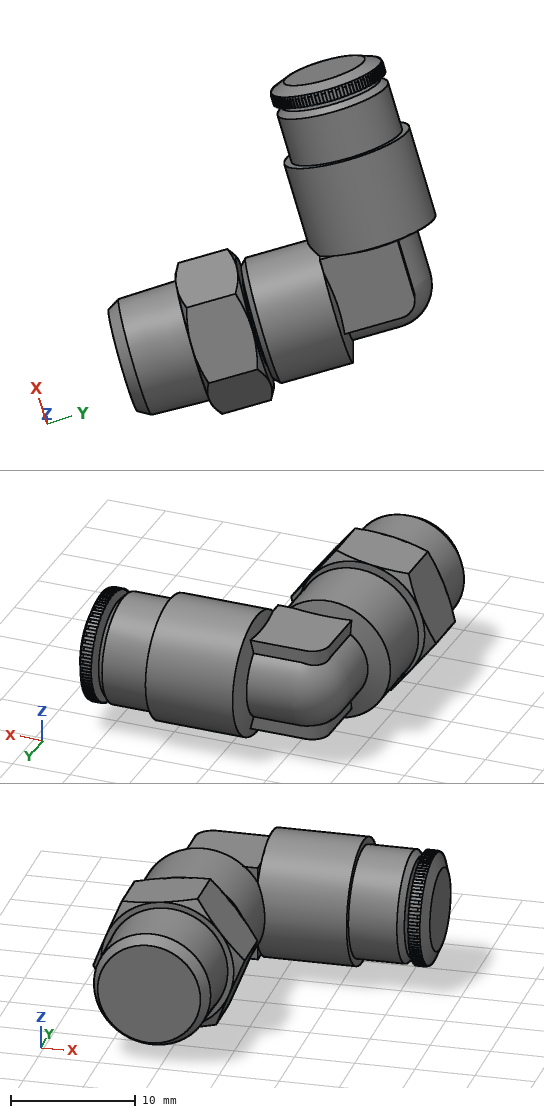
import cadquery as cq
import math


ELBOW_RADIUS = 3.5
PLATE_HALF_HEIGHT = 4.02
PLATE_OUTER_REACH = 1.98
PLATE_INNER_REACH = 4.5
PLATE_CORNER_RADIUS = 1.5

SLEEVE_RADIUS = 5.25
SLEEVE_START = 4.5
SLEEVE_CONE_LENGTH = 0.5

STEM_SLEEVE_END = 11.0
STEM_SLEEVE_CHAMFER = 0.5
NECK_RADIUS = 3.58
NUT_START = 11.2
NUT_END = 16.3
NUT_ACROSS_FLATS = 11.02
NUT_TILT = 8.0
NUT_CHAMFER_ANGLE = 30.0
THREAD_TOP_RADIUS = 5.01
THREAD_CHAMFER_START = 21.27
THREAD_TAPER = 1 / 16
STEM_END = 22.3
STEM_END_RADIUS = 4.27

PORT_SLEEVE_END = 12.07
PORT_RADIUS = 4.65
PORT_END = 16.59
PORT_CHAMFER = 0.5
COLLAR_NECK_RADIUS = 2.87
COLLAR_RADIUS = 4.7
COLLAR_START = 17.03
COLLAR_BEVEL_START = 17.77
COLLAR_RIM_END = 18.0
COLLAR_END = 18.5
COLLAR_END_RADIUS = 3.42

GROOVE_COUNT = 50
GROOVE_DEPTH = 0.08
GROOVE_WIDTH = math.pi * COLLAR_RADIUS / GROOVE_COUNT

X_AXIS = ((0, 0, 0), (1, 0, 0))
Y_AXIS = ((0, 0, 0), (0, 1, 0))


def turned_along_x(profile):
    """Revolve a closed outline of (distance, radius) points about the port axis."""
    return cq.Workplane("XY").polyline(profile).close().revolve(360, *X_AXIS)


def turned_along_stem(profile):
    """Revolve a closed outline of (distance, radius) points about the stem axis."""
    outline = [(radius, -distance) for distance, radius in profile]
    return cq.Workplane("XY").polyline(outline).close().revolve(360, *Y_AXIS)


def make_elbow():
    """Two round arms joined by a ball, with a flat-sided plate across the bend."""
    ball = cq.Workplane("XY").sphere(ELBOW_RADIUS)
    port_arm = cq.Workplane("YZ").circle(ELBOW_RADIUS).extrude(SLEEVE_START)
    stem_arm = cq.Workplane("XZ").circle(ELBOW_RADIUS).extrude(SLEEVE_START)
    plate_side = PLATE_OUTER_REACH + PLATE_INNER_REACH
    plate_centre = (PLATE_INNER_REACH - PLATE_OUTER_REACH) / 2
    plate = (
        cq.Workplane("XY")
        .box(plate_side, plate_side, 2 * PLATE_HALF_HEIGHT)
        .edges("|Z and <X and >Y")
        .fillet(PLATE_CORNER_RADIUS)
        .translate((plate_centre, -plate_centre, 0))
    )
    return ball.union(port_arm).union(stem_arm).union(plate)


def make_stem():
    """Sleeve, neck and tapered thread as one turned body."""
    thread_end_radius = THREAD_TOP_RADIUS - THREAD_TAPER / 2 * (THREAD_CHAMFER_START - NUT_END)
    return turned_along_stem([
        (SLEEVE_START - SLEEVE_CONE_LENGTH, 0),
        (SLEEVE_START - SLEEVE_CONE_LENGTH, ELBOW_RADIUS),
        (SLEEVE_START, SLEEVE_RADIUS),
        (STEM_SLEEVE_END - STEM_SLEEVE_CHAMFER, SLEEVE_RADIUS),
        (STEM_SLEEVE_END, SLEEVE_RADIUS - STEM_SLEEVE_CHAMFER),
        (STEM_SLEEVE_END, NECK_RADIUS),
        (NUT_END, NECK_RADIUS),
        (NUT_END, THREAD_TOP_RADIUS),
        (THREAD_CHAMFER_START, thread_end_radius),
        (STEM_END, STEM_END_RADIUS),
        (STEM_END, 0),
    ])


def make_nut():
    """Hexagon with both ends chamfered down to its inscribed circle."""
    flat_radius = NUT_ACROSS_FLATS / 2
    corner_radius = flat_radius / math.cos(math.radians(30))
    chamfer_length = (corner_radius - flat_radius) * math.tan(math.radians(NUT_CHAMFER_ANGLE))
    hexagon = (
        cq.Workplane("XZ", origin=(0, -NUT_START, 0))
        .polygon(6, 2 * corner_radius)
        .extrude(NUT_END - NUT_START)
        .rotate(*Y_AXIS, -NUT_TILT)
    )
    chamfered_blank = turned_along_stem([
        (NUT_START, 0),
        (NUT_START, flat_radius),
        (NUT_START + chamfer_length, corner_radius),
        (NUT_END - chamfer_length, corner_radius),
        (NUT_END, flat_radius),
        (NUT_END, 0),
    ])
    return hexagon.intersect(chamfered_blank)


def make_port():
    """Sleeve and tube holder as one turned body."""
    return turned_along_x([
        (SLEEVE_START - SLEEVE_CONE_LENGTH, 0),
        (SLEEVE_START - SLEEVE_CONE_LENGTH, ELBOW_RADIUS),
        (SLEEVE_START, SLEEVE_RADIUS),
        (PORT_SLEEVE_END, SLEEVE_RADIUS),
        (PORT_SLEEVE_END, PORT_RADIUS),
        (PORT_END - PORT_CHAMFER, PORT_RADIUS),
        (PORT_END, PORT_RADIUS - PORT_CHAMFER),
        (PORT_END, 0),
    ])


def make_collar():
    """Release collar whose neck sweeps up to the rim in a concave quarter round."""
    round_size = COLLAR_START - PORT_END
    along_45 = round_size * math.sin(math.radians(45))
    return (
        cq.Workplane("XY")
        .moveTo(PORT_END, 0)
        .lineTo(PORT_END, COLLAR_NECK_RADIUS)
        .threePointArc(
            (PORT_END + along_45, COLLAR_NECK_RADIUS + round_size - along_45),
            (COLLAR_START, COLLAR_NECK_RADIUS + round_size),
        )
        .lineTo(COLLAR_START, COLLAR_RADIUS)
        .lineTo(COLLAR_BEVEL_START, COLLAR_RADIUS)
        .lineTo(COLLAR_RIM_END, COLLAR_RADIUS - GROOVE_DEPTH)
        .lineTo(COLLAR_END, COLLAR_END_RADIUS)
        .lineTo(COLLAR_END, 0)
        .close()
        .revolve(360, *X_AXIS)
    )


def make_knurl_grooves():
    """Cutters for the axial grooves around the collar rim."""
    pitch_angle = 360 / GROOVE_COUNT
    floor_radius = COLLAR_RADIUS - GROOVE_DEPTH
    groove = (
        cq.Workplane("XY")
        .box(
            COLLAR_RIM_END - COLLAR_START,
            2 * GROOVE_DEPTH,
            GROOVE_WIDTH,
            centered=(False, False, True),
        )
        .translate((COLLAR_START, floor_radius, 0))
        .val()
    )
    cutters = []
    for index in range(GROOVE_COUNT):
        cutters.append(groove.rotate(*X_AXIS, (index + 0.5) * pitch_angle))
    return cq.Workplane(cq.Compound.makeCompound(cutters))


collar = make_collar().cut(make_knurl_grooves())
result = make_elbow().union(make_stem()).union(make_nut()).union(make_port()).union(collar)